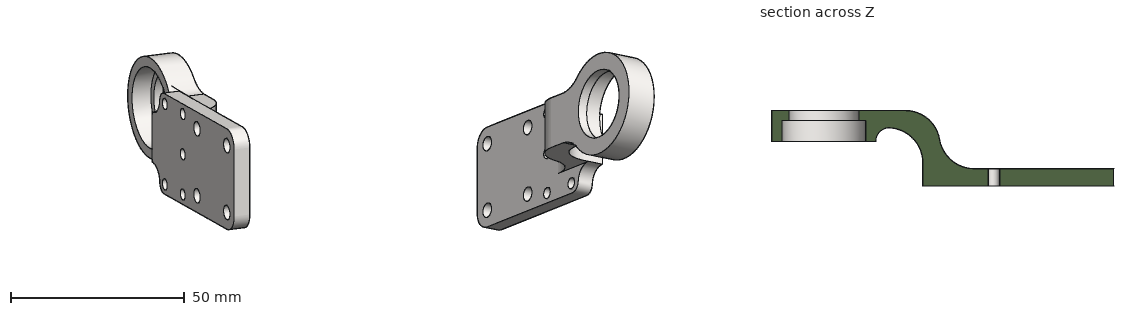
import cadquery as cq
import math

length = 98.5
depth = 21.8
height = 30.0

ring_radius = height / 2
ring_width = 9.0
bore_radius = 10.0
seat_radius = 12.0
seat_depth = 6.0
ring_front = depth - ring_width

plate_thickness = 5.0
plate_right = length - ring_radius
plate_corner_radius = 5.0
shoulder_radius = 3.0
small_hole_diameter = 3.25
small_hole_x = 36.9
small_hole_pitch = 12.0
large_hole_diameter = 4.2
large_hole_x = 58.5
large_hole_pitch = 20.0

arm_half_height = 7.5
arm_thickness = 5.0
arm_front_x = 28.5
bend_radius = 10.0
neck_radius = 10.0
arm_underside = depth - arm_thickness

neck_center_z = arm_half_height + neck_radius
neck_x = math.sqrt((ring_radius + neck_radius) ** 2 - neck_center_z ** 2)
neck_share = ring_radius / (ring_radius + neck_radius)
neck_tangent = (neck_x * neck_share, neck_center_z * neck_share)

notch_radius = 5.0
notch_center = (arm_front_x, arm_half_height + notch_radius)
shoulder_z = height / 2 - shoulder_radius
shoulder_drop = notch_center[1] - shoulder_z
shoulder_reach = notch_radius + shoulder_radius
shoulder_x = arm_front_x + math.sqrt(shoulder_reach ** 2 - shoulder_drop ** 2)
shoulder_tilt = math.degrees(math.asin(shoulder_drop / shoulder_reach))


def extrude_y(sketch, start, end):
    """Extrude a closed XZ outline between two Y positions."""
    return sketch.extrude(-(end - start)).translate((0, start, 0))


def cylinder_y(radius, start, end):
    return extrude_y(cq.Workplane("XZ").circle(radius), start, end)


def arc_middle(center, radius, degrees):
    """Point on a circle at the given angle."""
    angle = math.radians(degrees)
    return (center[0] + radius * math.cos(angle), center[1] + radius * math.sin(angle))


def make_plate():
    top = height / 2
    notch_mid = arc_middle(notch_center, notch_radius, -(90 + shoulder_tilt) / 2)
    notch_end = arc_middle(notch_center, notch_radius, -shoulder_tilt)
    corner_mid = arc_middle((shoulder_x, shoulder_z), shoulder_radius, (270 - shoulder_tilt) / 2)
    half = (
        cq.Workplane("XZ")
        .moveTo(arm_front_x, 0)
        .lineTo(arm_front_x, arm_half_height)
        .threePointArc(notch_mid, notch_end)
        .threePointArc(corner_mid, (shoulder_x, top))
        .lineTo(plate_right, top)
        .lineTo(plate_right, 0)
        .close()
    )
    half = extrude_y(half, 0, plate_thickness)
    plate = half.union(half.mirror("XY"))
    plate = plate.edges("|Y and >X").fillet(plate_corner_radius)

    span = small_hole_pitch
    small_holes = [(small_hole_x + span, 0)]
    small_holes += [(small_hole_x + dx, z) for dx in (0, span) for z in (-span, span)]
    large_holes = [
        (large_hole_x + dx, z)
        for dx in (0, large_hole_pitch)
        for z in (-large_hole_pitch / 2, large_hole_pitch / 2)
    ]
    for points, diameter in ((small_holes, small_hole_diameter), (large_holes, large_hole_diameter)):
        holes = cq.Workplane("XZ").pushPoints(points).circle(diameter / 2)
        plate = plate.cut(extrude_y(holes, 0, plate_thickness))
    return plate


def make_arm():
    """S-shaped arm: horizontal bar, inner bend, and two opposed outer bends."""
    inner_center = (arm_front_x - bend_radius, arm_underside - bend_radius)
    outer_center = (arm_front_x + arm_thickness - bend_radius, depth - bend_radius)
    foot_y = plate_thickness + bend_radius
    rise = foot_y - outer_center[1]
    foot_x = outer_center[0] + math.sqrt((2 * bend_radius) ** 2 - rise ** 2)
    foot_center = (foot_x, foot_y)
    tilt = math.degrees(math.asin(rise / (2 * bend_radius)))
    inflection = arc_middle(outer_center, bend_radius, tilt)
    return (
        cq.Workplane("XY")
        .moveTo(0, depth)
        .lineTo(outer_center[0], depth)
        .threePointArc(arc_middle(outer_center, bend_radius, (90 + tilt) / 2), inflection)
        .threePointArc(
            arc_middle(foot_center, bend_radius, (180 + tilt + 270) / 2),
            (foot_x, plate_thickness),
        )
        .lineTo(foot_x, 0)
        .lineTo(arm_front_x, 0)
        .lineTo(arm_front_x, inner_center[1])
        .threePointArc(arc_middle(inner_center, bend_radius, 45), (inner_center[0], arm_underside))
        .lineTo(0, arm_underside)
        .close()
        .extrude(arm_half_height, both=True)
    )


def make_neck():
    """Flared sides and a coved underside where the arm joins the ring."""
    cove_radius = arm_underside - ring_front
    cove_edge = ring_radius + cove_radius
    cove_mid = arc_middle((cove_edge, ring_front), cove_radius, 135)
    collar = (
        cq.Workplane("XY")
        .moveTo(0, ring_front)
        .lineTo(ring_radius, ring_front)
        .threePointArc(cove_mid, (cove_edge, arm_underside))
        .lineTo(cove_edge, depth)
        .lineTo(0, depth)
        .close()
        .revolve(360, (0, 0, 0), (0, 1, 0))
    )
    tangent_x, tangent_z = neck_tangent
    flare_center = (neck_x, neck_center_z)
    flare_angle = (180 + math.degrees(math.atan2(tangent_z, tangent_x)) + 270) / 2
    upper_mid = arc_middle(flare_center, neck_radius, flare_angle)
    lower_mid = (upper_mid[0], -upper_mid[1])
    outline = (
        cq.Workplane("XZ")
        .moveTo(0, 0)
        .lineTo(tangent_x, tangent_z)
        .threePointArc(upper_mid, (neck_x, arm_half_height))
        .lineTo(cove_edge, arm_half_height)
        .lineTo(cove_edge, -arm_half_height)
        .lineTo(neck_x, -arm_half_height)
        .threePointArc(lower_mid, (tangent_x, -tangent_z))
        .close()
    )
    return extrude_y(outline, ring_front, depth).intersect(collar)


body = cylinder_y(ring_radius, ring_front, depth)
body = body.union(make_neck()).union(make_arm()).union(make_plate())
body = body.cut(cylinder_y(bore_radius, ring_front, depth))
result = body.cut(cylinder_y(seat_radius, ring_front, ring_front + seat_depth))